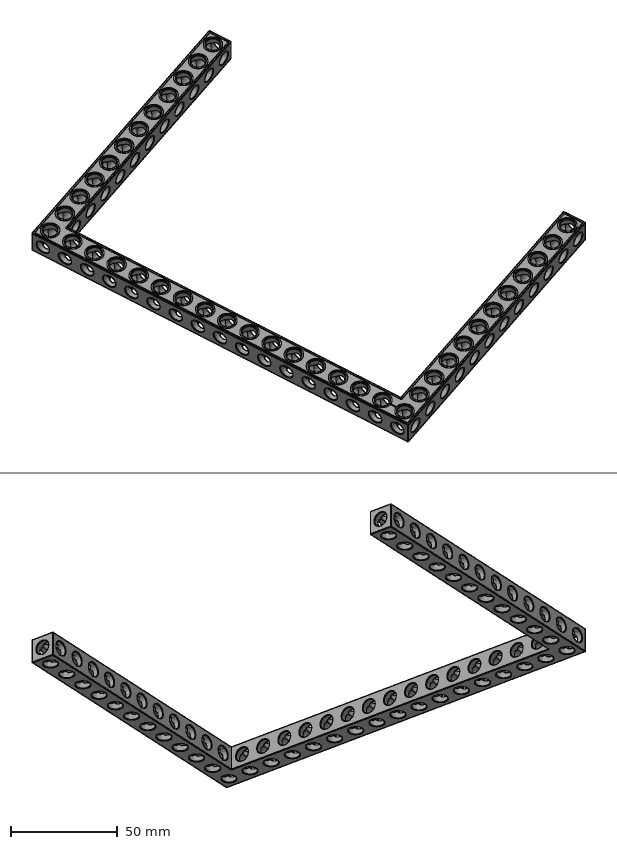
import cadquery as cq

length_x = 212.5
columns = 17
rows = 12
pitch = length_x / columns
length_y = rows * pitch
beam = pitch
mid_height = beam / 2

bore_diameter = 7.0
bore_radius = bore_diameter / 2
edge_chamfer = 0.3

border_width = 1.0
rim_diameter = 9.1
recess_depth = 0.2
bridge_width = 0.5

column_positions = [(column + 0.5) * pitch for column in range(columns)]
row_positions = [(row + 0.5) * pitch for row in range(rows)]
base_row = row_positions[0]
arm_columns = [column_positions[0], column_positions[-1]]
hole_positions = [(x, base_row) for x in column_positions]
hole_positions += [(x, y) for x in arm_columns for y in row_positions[1:]]


def u_prism(inset, bottom, height):
    """U-shaped prism whose outline lies the given inset inside the frame outline."""
    left, right = inset, length_x - inset
    front, back = inset, length_y - inset
    arm_width = beam - inset
    outline = [
        (left, front),
        (right, front),
        (right, back),
        (length_x - arm_width, back),
        (length_x - arm_width, arm_width),
        (arm_width, arm_width),
        (arm_width, back),
        (left, back),
    ]
    return cq.Workplane("XY", origin=(0, 0, bottom)).polyline(outline).close().extrude(height)


def chamfered_frame():
    """Solid frame with every edge chamfered except the two vertical ones in the inside corners."""
    inside_corners = cq.selectors.BoxSelector(
        (beam / 2, beam / 2, beam / 4),
        (length_x - beam / 2, 3 * beam / 2, 3 * beam / 4),
    )
    every_edge = cq.selectors.StringSyntaxSelector("|Z or #Z")
    sharp_edges = cq.selectors.SubtractSelector(every_edge, inside_corners)
    return u_prism(0, 0, beam).edges(sharp_edges).chamfer(edge_chamfer)


def top_recess():
    """Material removed from the top face between the border, the hole rims and the bridge."""
    floor = beam - recess_depth
    rims = (
        cq.Workplane("XY", origin=(0, 0, floor))
        .pushPoints(hole_positions)
        .circle(rim_diameter / 2)
        .extrude(recess_depth)
    )
    bridge = (
        cq.Workplane("XY", origin=(length_x - beam, base_row, floor))
        .rect(pitch, bridge_width)
        .extrude(recess_depth)
    )
    return u_prism(border_width, floor, recess_depth).cut(rims).cut(bridge)


def bore(start, direction, length, mouths):
    """Cylinder from start along direction, flared at each mouth given as (distance, inward sign)."""
    start = cq.Vector(*start)
    direction = cq.Vector(*direction)
    cutter = cq.Solid.makeCylinder(bore_radius, length, start, direction)
    for distance, inward in mouths:
        flare = cq.Solid.makeCone(
            bore_radius + edge_chamfer,
            bore_radius,
            edge_chamfer,
            start + direction * distance,
            direction * inward,
        )
        cutter = cutter.fuse(flare)
    return cutter


def bores_along_z():
    """Vertical holes through the base beam and both arms."""
    mouths = [(0, 1), (beam, -1)]
    return [bore((x, y, 0), (0, 0, 1), beam, mouths) for x, y in hole_positions]


def bores_along_x():
    """One bore down the base beam; the others cross both arms and flare on their inner sides too."""
    outer_mouths = [(0, 1), (length_x, -1)]
    inner_mouths = [(beam, -1), (length_x - beam, 1)]
    bores = []
    for y in row_positions:
        mouths = outer_mouths if y == base_row else outer_mouths + inner_mouths
        bores.append(bore((0, y, mid_height), (1, 0, 0), length_x, mouths))
    return bores


def bores_along_y():
    """Bores down the length of both arms, and across the base beam between them."""
    bores = []
    for x in column_positions:
        depth = length_y if x in arm_columns else beam
        bores.append(bore((x, 0, mid_height), (0, 1, 0), depth, [(0, 1), (depth, -1)]))
    return bores


result = chamfered_frame().cut(top_recess())
for bores in (bores_along_z(), bores_along_x(), bores_along_y()):
    result = result.cut(cq.Workplane(cq.Compound.makeCompound(bores)))